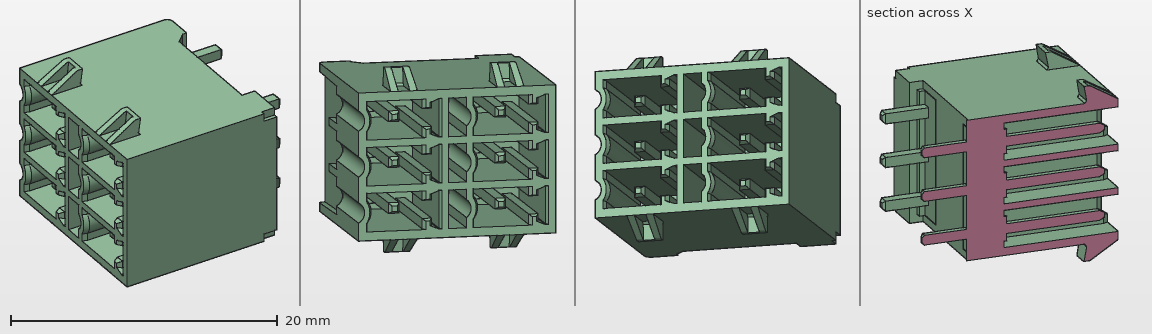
import cadquery as cq

WIDTH = 15.2
HEIGHT = 11.3
DEPTH = 13.25
MID_Z = HEIGHT / 2

COLUMN_PITCH = 8.2
ROW_PITCH = 3.5
COLUMN_OFFSETS = [0, COLUMN_PITCH]
ROW_CENTRES = [MID_Z + row * ROW_PITCH for row in (-1, 0, 1)]

PIN_X = 3.06
PIN_SIZE = 0.82
PIN_TIP_INSET = 0.2
PIN_FRONT_TIP_LENGTH = 0.4
PIN_REAR_TIP_LENGTH = 0.2
PIN_FRONT = 1.1
PIN_REAR = 15.86

CAVITY_DEPTH = 9.2
CAVITY_HALF_HEIGHT = 1.47
LEAD_IN = 0.4
BULGE_HALF_HEIGHT = 0.85
DOVETAIL_START_X = 5.5
DOVETAIL_START_Z = 1.18
DOVETAIL_END_X = 6.2
MOUTH = dict(left=0.625, bulge=0.875, tab_left=5.19, tab_z=0.83, tab_right=5.5, right=6.44)
BORE = dict(left=0.76, bulge=1.075, tab_left=5.0, tab_z=0.69, tab_right=5.725, right=6.29)
BOSS_RADIUS = 1.0
BOSS_HEIGHT = 0.2

GROOVE_RADIUS = 0.85
GROOVE_CENTRE_X = -0.375
GROOVE_LENGTH = 7.3
POCKET_LEFT = 6.94
POCKET_RIGHT = COLUMN_PITCH + 0.125

RECESS_DEPTH = 0.5
RECESS_MARGIN_FRONT = 0.75
RECESS_MARGIN_REAR = 0.64
RIB_THICKNESS = 0.58
RIB_LENGTH = 2.45

CORNER_RADIUS = 0.5
REAR_FLOOR_Y = 12.13
REAR_LEFT_X = 2.45
REAR_LEFT_STEP_Y = 12.9
REAR_SLOPE_END_X = 3.19
REAR_RIGHT_X = 12.08
REAR_PAD_HEIGHT = 0.05
LEFT_PAD_END_X = 3.97
RIGHT_PAD_START_X = 9.47
STOP_WIDTH = 0.45
STOP_HEIGHT = 0.5
WALL_Z = 0.65
NOTCH_WIDTH = 0.33

HOOK_X = 3.52
HOOK_HEIGHT = 1.38
HOOK_BASE_HALF_WIDTH = 1.03
HOOK_TOP_HALF_WIDTH = 0.95
HOOK_LIP_FRONT = 2.3
HOOK_LIP_RADIUS = 0.43
HOOK_LIP_REAR = 2.78
HOOK_NECK_Y = 2.56
HOOK_FOOT_Y = 2.7
HOOK_FOOT_HEIGHT = 0.2
HOOK_SLOT_WIDTH = 0.9
HOOK_SLOT_TOP_Y = 2.42
HOOK_SLOT_NECK_Y = 2.3
HOOK_SLOT_END_Y = 2.1


def box(x0, x1, y0, y1, z0, z1):
    """Axis-aligned block between the given limits."""
    return cq.Workplane("XY").box(x1 - x0, y1 - y0, z1 - z0, centered=False).translate((x0, y0, z0))


def rod_along_y(x, z, radius, y0, y1):
    """Round bar parallel to Y."""
    return cq.Workplane("XZ", origin=(x, y0, z)).circle(radius).extrude(y0 - y1)


def make_body():
    """Block with its stepped rear outline and rounded left rear corner."""
    outline = (
        cq.Workplane("XY")
        .lineTo(WIDTH, 0)
        .lineTo(WIDTH, DEPTH)
        .lineTo(REAR_RIGHT_X, DEPTH)
        .lineTo(REAR_RIGHT_X, REAR_FLOOR_Y)
        .lineTo(REAR_SLOPE_END_X, REAR_FLOOR_Y)
        .lineTo(REAR_LEFT_X, REAR_LEFT_STEP_Y)
        .lineTo(REAR_LEFT_X, DEPTH)
        .lineTo(CORNER_RADIUS, DEPTH)
        .radiusArc((0, DEPTH - CORNER_RADIUS), -CORNER_RADIUS)
        .close()
    )
    return outline.extrude(HEIGHT)


def add_rear_pads(body):
    """Low pads on the rear floor and a stop block beside the right wall, inside the outer walls."""
    top_z = HEIGHT - WALL_Z
    pad_y = REAR_FLOOR_Y + REAR_PAD_HEIGHT
    stop_y = REAR_FLOOR_Y + STOP_HEIGHT
    body = body.union(box(REAR_LEFT_X, LEFT_PAD_END_X, CAVITY_DEPTH, pad_y, WALL_Z, top_z))
    body = body.union(box(RIGHT_PAD_START_X, REAR_RIGHT_X, CAVITY_DEPTH, pad_y, WALL_Z, top_z))
    return body.union(box(REAR_RIGHT_X - STOP_WIDTH, REAR_RIGHT_X, CAVITY_DEPTH, stop_y, WALL_Z, top_z))


def cut_corner_notches(body):
    """Small notches in the right rear corner, at the top and the bottom."""
    for z0 in (0, HEIGHT - WALL_Z):
        body = body.cut(box(WIDTH - NOTCH_WIDTH, WIDTH, REAR_FLOOR_Y, DEPTH, z0, z0 + WALL_Z))
    return body


def cut_side_recess(body):
    """Recess in the left side whose height grows slightly to the rear, leaving two ribs."""
    recess = (
        cq.Workplane("YZ")
        .moveTo(GROOVE_LENGTH, RECESS_MARGIN_FRONT)
        .lineTo(DEPTH, RECESS_MARGIN_REAR)
        .lineTo(DEPTH, HEIGHT - RECESS_MARGIN_REAR)
        .lineTo(GROOVE_LENGTH, HEIGHT - RECESS_MARGIN_FRONT)
        .close()
        .extrude(RECESS_DEPTH)
    )
    for side in (-1, 1):
        rib_z = MID_Z + side * ROW_PITCH / 2
        rib = box(0, RECESS_DEPTH, GROOVE_LENGTH, GROOVE_LENGTH + RIB_LENGTH,
                  rib_z - RIB_THICKNESS / 2, rib_z + RIB_THICKNESS / 2)
        recess = recess.cut(rib)
    return body.cut(recess)


def cavity_section(plane, size):
    """Cavity outline: bulged left wall, a tab from above and below, dovetail on the right."""
    dovetail_slope = (CAVITY_HALF_HEIGHT - DOVETAIL_START_Z) / (DOVETAIL_END_X - DOVETAIL_START_X)
    tab_root_z = DOVETAIL_START_Z + dovetail_slope * (size["tab_right"] - DOVETAIL_START_X)
    upper = [
        (size["left"], CAVITY_HALF_HEIGHT),
        (size["tab_left"], CAVITY_HALF_HEIGHT),
        (size["tab_left"], size["tab_z"]),
        (size["tab_right"], size["tab_z"]),
        (size["tab_right"], tab_root_z),
        (DOVETAIL_END_X, CAVITY_HALF_HEIGHT),
        (size["right"], CAVITY_HALF_HEIGHT),
    ]
    lower = [(x, -z) for x, z in reversed(upper)]
    return (
        plane.moveTo(size["left"], -BULGE_HALF_HEIGHT)
        .threePointArc((size["bulge"], 0), (size["left"], BULGE_HALF_HEIGHT))
        .polyline(upper + lower, includeCurrent=True)
        .close()
    )


def make_cavity():
    """Cavity volume for the first column, centred on Z = 0, with a round boss on its floor."""
    mouth = cavity_section(cq.Workplane("XZ"), MOUTH)
    lead_in = cavity_section(mouth.workplane(offset=-LEAD_IN), BORE).loft(ruled=True)
    bore = cavity_section(cq.Workplane("XZ", origin=(0, LEAD_IN, 0)), BORE).extrude(LEAD_IN - CAVITY_DEPTH)
    boss = rod_along_y(PIN_X, 0, BOSS_RADIUS, CAVITY_DEPTH - BOSS_HEIGHT, CAVITY_DEPTH)
    return bore.union(lead_in).cut(boss)


def pin_tip(end_y, shank_y):
    """Tapered pin tip that narrows from the shank to its end face."""
    return (
        cq.Workplane("XZ", origin=(PIN_X, shank_y, 0))
        .rect(PIN_SIZE, PIN_SIZE)
        .workplane(offset=shank_y - end_y)
        .rect(PIN_SIZE - 2 * PIN_TIP_INSET, PIN_SIZE - 2 * PIN_TIP_INSET)
        .loft(ruled=True)
    )


def make_pin():
    """Square pin centred on Z = 0, tapered at both ends."""
    half = PIN_SIZE / 2
    shank_front = PIN_FRONT + PIN_FRONT_TIP_LENGTH
    shank_rear = PIN_REAR - PIN_REAR_TIP_LENGTH
    shank = box(PIN_X - half, PIN_X + half, shank_front, shank_rear, -half, half)
    return shank.union(pin_tip(PIN_FRONT, shank_front)).union(pin_tip(PIN_REAR, shank_rear))


def make_pocket():
    """Pocket between the columns, centred on Z = 0, whose right wall carries a key groove."""
    pocket = box(POCKET_LEFT, POCKET_RIGHT, 0, GROOVE_LENGTH, -CAVITY_HALF_HEIGHT, CAVITY_HALF_HEIGHT)
    return pocket.union(rod_along_y(COLUMN_PITCH + GROOVE_CENTRE_X, 0, GROOVE_RADIUS, 0, GROOVE_LENGTH))


def make_hook():
    """Slotted snap hook that stands on Z = 0, centred on X = 0."""
    side = (
        cq.Workplane("YZ")
        .lineTo(HOOK_LIP_FRONT, HOOK_HEIGHT)
        .lineTo(HOOK_LIP_REAR, HOOK_HEIGHT)
        .lineTo(HOOK_NECK_Y, HOOK_FOOT_HEIGHT)
        .lineTo(HOOK_FOOT_Y, 0)
        .close()
        .extrude(HOOK_BASE_HALF_WIDTH, both=True)
        .edges(cq.selectors.NearestToPointSelector((0, HOOK_LIP_FRONT, HOOK_HEIGHT)))
        .fillet(HOOK_LIP_RADIUS)
    )
    taper = (
        cq.Workplane("XZ")
        .moveTo(-HOOK_BASE_HALF_WIDTH, 0)
        .lineTo(HOOK_BASE_HALF_WIDTH, 0)
        .lineTo(HOOK_TOP_HALF_WIDTH, HOOK_HEIGHT)
        .lineTo(-HOOK_TOP_HALF_WIDTH, HOOK_HEIGHT)
        .close()
        .extrude(-HOOK_LIP_REAR)
    )
    slot = (
        cq.Workplane("YZ")
        .lineTo(HOOK_SLOT_END_Y, 0)
        .lineTo(HOOK_SLOT_NECK_Y, HOOK_FOOT_HEIGHT)
        .lineTo(HOOK_SLOT_TOP_Y, HOOK_HEIGHT)
        .lineTo(0, HOOK_HEIGHT)
        .close()
        .extrude(HOOK_SLOT_WIDTH / 2, both=True)
    )
    return side.intersect(taper).cut(slot)


def build():
    body = cut_side_recess(cut_corner_notches(add_rear_pads(make_body())))
    cavity = make_cavity()
    pocket = make_pocket()
    pin = make_pin()
    for z in ROW_CENTRES:
        body = body.cut(rod_along_y(GROOVE_CENTRE_X, z, GROOVE_RADIUS, 0, GROOVE_LENGTH))
        body = body.cut(pocket.translate((0, 0, z)))
        for x in COLUMN_OFFSETS:
            body = body.cut(cavity.translate((x, 0, z)))
            body = body.union(pin.translate((x, 0, z)))

    top_hook = make_hook().translate((HOOK_X, 0, HEIGHT))
    bottom_hook = top_hook.mirror("XY", (0, 0, MID_Z))
    for x in COLUMN_OFFSETS:
        body = body.union(top_hook.translate((x, 0, 0)))
        body = body.union(bottom_hook.translate((x, 0, 0)))
    return body


result = build()